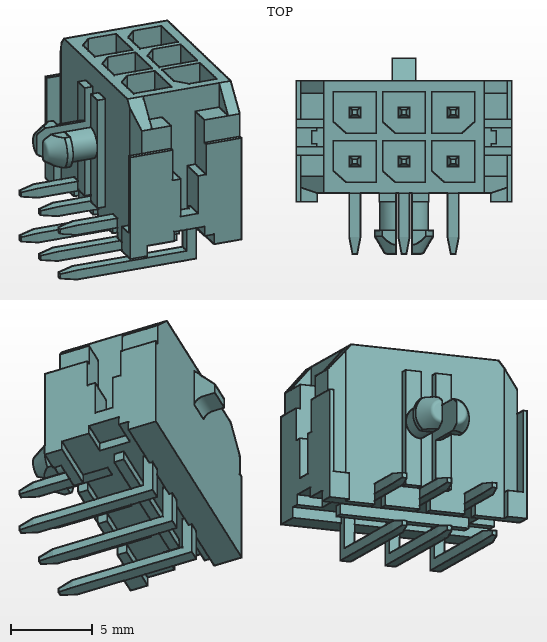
import cadquery as cq


pitch = 3.0
columns = 3
column_places = [(column - (columns - 1) / 2) * pitch for column in range(columns)]
row_place = pitch / 2
pin_width = 0.7
pin_thickness = 0.63
pin_end = 0.3
pin_taper = 1.03
pin_top = 6.84
tail_reach = 7.14

body_height = 9.92
body_half_width = 4.9
body_half_depth = 3.43
floor_height = 0.67
front_tail_height = floor_height + pin_thickness / 2

half_width = 6.58
column_half_width = 6.31
column_top = 8.3
cheek_top = 6.79
cheek_front = 3.96
corner_cut_width = 5.29
corner_cut_depth = 0.35
foot_top = 1.65
rear_foot_inner = 1.6
front_foot_inner = 2.81
rear_gusset_depth = 0.78
front_gusset_depth = 1.04

side_recess_place = -0.03
key_slot_width = 2.21
key_slot_bottom = 4.76
clip_slot_width = 1.16
clip_slot_bottom = 2.25
clip_pocket_bottom = foot_top
clip_pocket_half_width = 5.33
clip_head_half_width = 5.64
clip_head_width = 0.79
bottom_notch_width = 2.0
bottom_notch_top = 1.3

cross_rib_width = 8.55
cross_rib_depth = 0.63

cavity_width = 2.6
cavity_depth = 2.52
cavity_bevel_width = 0.76
cavity_bevel_depth = 0.68
cavity_floor = 1.97

rib_inner = 0.49
rib_width = 1.03
rib_bottom = 1.32
rib_top = 8.52
peg_height = 5.3
peg_radius = 1.0
barb_radius = 1.3
barb_start = 5.7
barb_end = 6.06
peg_tip_radius = 0.67
peg_tip_fillet = 0.24

latch_width = 1.45
latch_reach = 4.81
latch_top = 9.35
latch_nose_top = 7.7
latch_bottom = 6.98
latch_curve_run = 0.63
latch_curve_drop = 0.46


def block(x_range, y_range, z_range):
    """Box between two limits on each axis."""
    lows, highs = zip(x_range, y_range, z_range)
    sizes = [high - low for low, high in zip(lows, highs)]
    return cq.Workplane("XY").box(*sizes, centered=False).translate(lows)


def both_sides(left_shape):
    """The shape together with its mirror image across X = 0."""
    return left_shape.union(left_shape.mirror("YZ"))


def make_body():
    body_x = (-body_half_width, body_half_width)
    body = block(body_x, (-body_half_depth, body_half_depth), (floor_height, body_height))
    front_foot = block(body_x, (-body_half_depth, -front_foot_inner), (0, floor_height))
    rear_foot = block(body_x, (rear_foot_inner, body_half_depth), (0, floor_height))
    cross_rib = block(
        (-cross_rib_width / 2, cross_rib_width / 2),
        (side_recess_place - cross_rib_depth / 2, side_recess_place + cross_rib_depth / 2),
        (0, floor_height),
    )
    return body.union(front_foot).union(rear_foot).union(cross_rib)


def gusset(y_low, y_high):
    """Sloped web between a side column and the top edge of the body."""
    return (
        cq.Workplane("XZ", origin=(0, y_high, 0))
        .moveTo(-column_half_width, column_top)
        .lineTo(-body_half_width, body_height)
        .lineTo(-body_half_width, column_top)
        .close()
        .extrude(y_high - y_low)
    )


def make_left_side():
    """Left column with its webs and bevelled corner, the cheek plate outside it, and the feet below."""
    column_x = (-column_half_width, -body_half_width)
    cheek_x = (-half_width, -column_half_width)
    column = block(column_x, (-body_half_depth, body_half_depth), (floor_height, column_top))
    cheek = block(cheek_x, (-cheek_front, body_half_depth), (floor_height, cheek_top))
    rear_web = gusset(body_half_depth - rear_gusset_depth, body_half_depth)
    front_web = gusset(-body_half_depth, front_gusset_depth - body_half_depth)
    corner_bevel = (
        cq.Workplane("XY")
        .moveTo(-column_half_width, -body_half_depth)
        .lineTo(-corner_cut_width, -body_half_depth)
        .lineTo(-column_half_width, corner_cut_depth - body_half_depth)
        .close()
        .extrude(body_height)
    )
    front_block_x = (-half_width, -corner_cut_width)
    rear_foot_x = (-half_width, -body_half_width)
    front_block = block(front_block_x, (-cheek_front, -front_foot_inner), (0, foot_top))
    rear_foot = block(rear_foot_x, (rear_foot_inner, body_half_depth), (0, floor_height))
    inner_foot = block(
        (-corner_cut_width, -body_half_width), (-body_half_depth, -front_foot_inner), (0, floor_height)
    )
    columns_and_webs = column.union(rear_web).union(front_web).cut(corner_bevel)
    return columns_and_webs.union(cheek).union(front_block).union(rear_foot).union(inner_foot)


def side_recess(outer, inner, width, bottom, top):
    """Box cut into the left side, centred on the common middle of the side recesses."""
    y_range = (side_recess_place - width / 2, side_recess_place + width / 2)
    return block((-outer, -inner), y_range, (bottom, top))


def make_left_recesses():
    key_slot = side_recess(half_width, body_half_width, key_slot_width, key_slot_bottom, body_height)
    clip_slot = side_recess(half_width, body_half_width, clip_slot_width, clip_slot_bottom, key_slot_bottom)
    clip_pocket = side_recess(
        clip_pocket_half_width, body_half_width, clip_slot_width, clip_pocket_bottom, clip_slot_bottom
    )
    clip_head = side_recess(
        clip_head_half_width, clip_pocket_half_width, clip_head_width, clip_pocket_bottom, clip_slot_bottom
    )
    bottom_notch = side_recess(
        half_width, body_half_width, bottom_notch_width, floor_height, bottom_notch_top
    )
    return key_slot.union(clip_slot).union(clip_pocket).union(clip_head).union(bottom_notch)


def make_cavity(x, y, bevel_side):
    """Rectangular cavity with its front corner bevelled on the left (-1) or on the right (+1)."""
    side = bevel_side * cavity_width / 2
    front = -cavity_depth / 2
    return (
        cq.Workplane("XY", origin=(x, y, cavity_floor))
        .moveTo(-side, front)
        .lineTo(side - bevel_side * cavity_bevel_width, front)
        .lineTo(side, front + cavity_bevel_depth)
        .lineTo(side, -front)
        .lineTo(-side, -front)
        .close()
        .extrude(body_height - cavity_floor)
    )


def make_left_rib():
    return block(
        (-rib_inner - rib_width, -rib_inner), (-cheek_front, -body_half_depth), (rib_bottom, rib_top)
    )


def make_left_peg_half():
    """Half-round peg with a barbed, tapered tip, turned about the inner edge of its rib."""
    turned = (
        cq.Workplane("XY")
        .moveTo(0, -body_half_depth)
        .lineTo(peg_radius, -body_half_depth)
        .lineTo(peg_radius, -barb_start)
        .lineTo(barb_radius, -barb_start)
        .lineTo(barb_radius, -barb_end)
        .lineTo(peg_tip_radius, -tail_reach)
        .lineTo(0, -tail_reach)
        .close()
        .revolve(360, (0, 0), (0, 1))
        .faces("<Y")
        .edges()
        .fillet(peg_tip_fillet)
    )
    left_half = block((-barb_radius, 0), (-tail_reach, -body_half_depth), (-peg_radius, peg_radius))
    return turned.intersect(left_half).translate((-rib_inner, 0, peg_height))


def make_latch():
    return (
        cq.Workplane("YZ", origin=(-latch_width / 2, 0, 0))
        .moveTo(body_half_depth, latch_top)
        .lineTo(latch_reach, latch_nose_top)
        .lineTo(latch_reach, latch_bottom)
        .lineTo(body_half_depth + latch_curve_run, latch_bottom)
        .tangentArcPoint((body_half_depth, latch_bottom - latch_curve_drop), relative=False)
        .close()
        .extrude(latch_width)
    )


def tapered_bar(length):
    """Bar rising from Z = 0 to the given length, with a tapered tip."""
    shaft = cq.Workplane("XY").rect(pin_width, pin_thickness).extrude(length - pin_taper)
    tip = (
        cq.Workplane("XY", origin=(0, 0, length - pin_taper))
        .rect(pin_width, pin_thickness)
        .workplane(offset=pin_taper)
        .rect(pin_end, pin_end)
        .loft()
    )
    return shaft.union(tip)


def make_pin(x, y, tail_height):
    """Bent pin: an upright contact in its cavity and a tail toward -Y."""
    bend_bottom = tail_height - pin_thickness / 2
    bend_back = y + pin_thickness / 2
    upright = tapered_bar(pin_top - bend_bottom).translate((x, y, bend_bottom))
    tail = tapered_bar(tail_reach + bend_back).rotate((0, 0, 0), (1, 0, 0), 90)
    return upright.union(tail.translate((x, bend_back, tail_height)))


def make_tail_slot(x):
    """Slot in the front foot below a front-row tail, open at the bottom."""
    return block(
        (x - pin_width / 2, x + pin_width / 2), (-body_half_depth, -front_foot_inner), (0, floor_height)
    )


def make_housing(pins):
    left_details = make_left_side().cut(make_left_recesses())
    left_details = left_details.union(make_left_rib()).union(make_left_peg_half())
    housing = make_body().union(both_sides(left_details)).union(make_latch())
    for x in column_places:
        housing = housing.cut(make_tail_slot(x))
        for y in (row_place, -row_place):
            is_rear_right = x == column_places[-1] and y == row_place
            housing = housing.cut(make_cavity(x, y, 1 if is_rear_right else -1))
    for pin in pins:
        housing = housing.cut(pin)
    return housing


front_pins = [make_pin(x, -row_place, front_tail_height) for x in column_places]
rear_pins = [make_pin(x, row_place, front_tail_height - pitch) for x in column_places]
pins = front_pins + rear_pins
housing = make_housing(pins)

bodies = [housing, *pins]
result = cq.Compound.makeCompound([body.solids().val() for body in bodies])